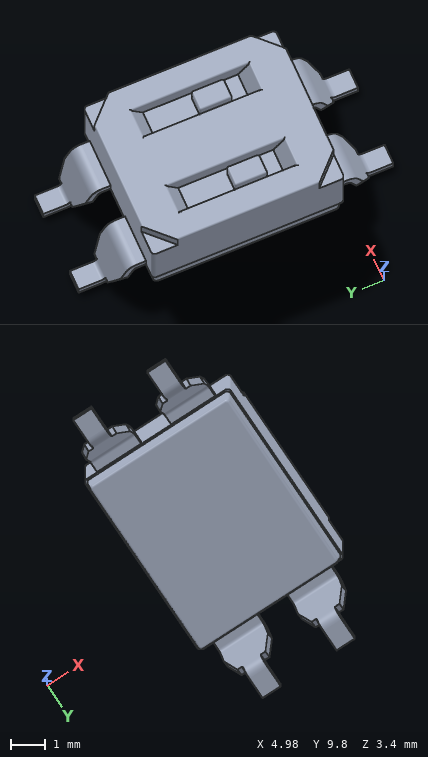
import cadquery as cq
import math

overall_length = 9.8
overall_height = 3.4
pitch = 2.54

cover_width = 4.98
cover_length = 5.99
cover_height = 2.16
cover_corner_radius = 0.12
cover_top_round = 0.06
cut_corner_leg = 0.79
cut_corner_depth = 0.39

base_height = 0.67
base_inset = 0.05
base_draft = 5.0
base_bottom_round = 0.09

slot_width = 0.85
slot_length = 3.68
slot_depth = 0.48
slot_ramp_run = 0.36
slot_rim_round = 0.06
selection_margin = 0.01

knob_width = 0.64
knob_length = 1.01
knob_height = 0.42
knob_offset_y = -0.48
knob_round = 0.06

lead_thickness = 0.245
lead_width = 1.51
lead_neck_width = 0.96
lead_drop = 1.87
foot_width = 0.63
foot_length = 0.7
lead_angle = 65.0
inner_bend = 0.15
lead_taper_length = 0.69
lead_embed = 0.2

cover_bottom_z = overall_height - cover_height
slot_floor_z = overall_height - slot_depth
column_positions = (-pitch / 2, pitch / 2)


def make_cover():
    """Rectangular cover with rounded edges and stepped corners."""
    cover = (
        cq.Workplane("XY")
        .workplane(offset=cover_bottom_z)
        .rect(cover_width, cover_length)
        .extrude(cover_height)
        .edges("|Z")
        .fillet(cover_corner_radius)
        .faces(">Z")
        .edges()
        .fillet(cover_top_round)
    )
    for side_x in (-1, 1):
        for side_y in (-1, 1):
            corner_x = side_x * cover_width / 2
            corner_y = side_y * cover_length / 2
            notch = (
                cq.Workplane("XY")
                .workplane(offset=overall_height - cut_corner_depth)
                .polyline([
                    (corner_x, corner_y),
                    (corner_x - side_x * cut_corner_leg, corner_y),
                    (corner_x, corner_y - side_y * cut_corner_leg),
                ])
                .close()
                .extrude(cut_corner_depth)
            )
            cover = cover.cut(notch)
    return cover


def make_base():
    """Base that narrows downwards, with a rounded bottom edge."""
    return (
        cq.Workplane("XY")
        .workplane(offset=cover_bottom_z)
        .rect(cover_width - 2 * base_inset, cover_length - 2 * base_inset)
        .extrude(-base_height, taper=base_draft)
        .edges("not #Z")
        .fillet(cover_corner_radius)
        .faces("<Z")
        .edges()
        .fillet(base_bottom_round)
    )


def make_slot(x):
    """Slot volume with ramped ends."""
    half_top = slot_length / 2
    half_floor = half_top - slot_ramp_run
    return (
        cq.Workplane("YZ")
        .workplane(offset=x - slot_width / 2)
        .polyline([
            (-half_top, overall_height),
            (-half_floor, slot_floor_z),
            (half_floor, slot_floor_z),
            (half_top, overall_height),
        ])
        .close()
        .extrude(slot_width)
    )


def make_knob(x):
    """Slider knob standing on the slot floor."""
    return (
        cq.Workplane("XY")
        .workplane(offset=slot_floor_z)
        .center(x, knob_offset_y)
        .rect(knob_width, knob_length)
        .extrude(knob_height)
        .edges("|Z or >Z")
        .fillet(knob_round)
    )


def round_slot_rims(body):
    """Round the edges where the slots open into the top face."""
    reach_x = (pitch + slot_width) / 2 + selection_margin
    reach_y = slot_length / 2 + selection_margin
    rim_zone = cq.selectors.BoxSelector(
        (-reach_x, -reach_y, overall_height - selection_margin),
        (reach_x, reach_y, overall_height + selection_margin),
    )
    return body.edges(rim_zone).fillet(slot_rim_round)


def make_lead():
    """Lead at X = 0 on the +Y side."""
    angle = math.radians(lead_angle)
    cos_a = math.cos(angle)
    sin_a = math.sin(angle)
    outer_bend = inner_bend + lead_thickness
    both_bends = inner_bend + outer_bend

    shoulder_z = overall_height - lead_drop
    total_fall = shoulder_z - lead_thickness
    slope_length = (total_fall - both_bends * (1 - cos_a)) / sin_a

    tip_y = overall_length / 2
    heel_y = tip_y - foot_length
    shoulder_y = heel_y - both_bends * sin_a - slope_length * cos_a
    root_y = cover_length / 2 - lead_embed

    def on_arc(centre, radius, turn):
        """Point on a bend, turned from straight up."""
        return (centre[0] + radius * math.sin(turn), centre[1] + radius * math.cos(turn))

    upper = (shoulder_y, shoulder_z - outer_bend)
    shoulder = (
        cq.Workplane("YZ")
        .workplane(offset=-lead_width / 2)
        .moveTo(root_y, shoulder_z)
        .lineTo(shoulder_y, shoulder_z)
        .threePointArc(on_arc(upper, outer_bend, angle / 2), on_arc(upper, outer_bend, angle))
        .lineTo(*on_arc(upper, inner_bend, angle))
        .threePointArc(on_arc(upper, inner_bend, angle / 2), on_arc(upper, inner_bend, 0))
        .lineTo(root_y, shoulder_z - lead_thickness)
        .close()
        .extrude(lead_width)
    )

    lower = (heel_y, lead_thickness + inner_bend)
    half_turn = math.pi + angle / 2
    full_turn = math.pi + angle
    foot = (
        cq.Workplane("YZ")
        .workplane(offset=-foot_width / 2)
        .moveTo(tip_y, 0)
        .lineTo(tip_y, lead_thickness)
        .lineTo(heel_y, lead_thickness)
        .threePointArc(on_arc(lower, inner_bend, half_turn), on_arc(lower, inner_bend, full_turn))
        .lineTo(*on_arc(lower, outer_bend, full_turn))
        .threePointArc(on_arc(lower, outer_bend, half_turn), on_arc(lower, outer_bend, math.pi))
        .close()
        .extrude(foot_width)
    )

    blade_start = on_arc(upper, outer_bend, angle)
    blade_plane = cq.Plane(
        origin=(0, blade_start[0], blade_start[1]),
        xDir=(1, 0, 0),
        normal=(0, sin_a, cos_a),
    )
    taper_start = slope_length - lead_taper_length
    blade = (
        cq.Workplane(blade_plane)
        .polyline([
            (-lead_width / 2, 0),
            (-lead_width / 2, taper_start),
            (-lead_neck_width / 2, slope_length),
            (lead_neck_width / 2, slope_length),
            (lead_width / 2, taper_start),
            (lead_width / 2, 0),
        ])
        .close()
        .extrude(-lead_thickness)
    )
    return shoulder.union(blade).union(foot)


body = make_cover().union(make_base())
for column_x in column_positions:
    body = body.cut(make_slot(column_x))
body = round_slot_rims(body)

lead = make_lead()
opposite_lead = lead.mirror("XZ")
for column_x in column_positions:
    body = body.union(make_knob(column_x))
    body = body.union(lead.translate((column_x, 0, 0)))
    body = body.union(opposite_lead.translate((column_x, 0, 0)))

result = body